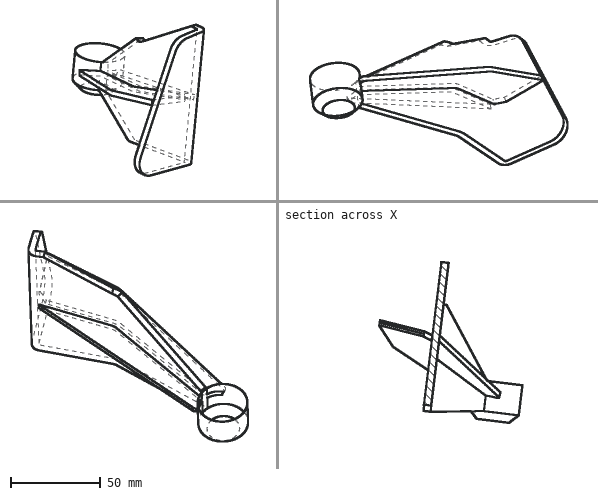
import cadquery as cq
import math

tilt = 7.0

cup_radius = 28.0 / 2
cup_wall = 0.1
cup_wall_height = 17.0
cup_height = 21.9
cup_mouth_radius = 9.2

sheet = 4.0
arm_angle = 28.0
arm_offset = -1.0
sheet_front = -39.3
flange_outer_x = 130.9 - cup_radius
flange_inner_x = flange_outer_x - sheet
arm_bend_radius = 5.0
flange_bend_radius = 1.0

arm_bottom_z = -cup_wall_height
bend_bottom_z = -21.1
flange_bottom_z = -17.7
arm_top_z = 0.1
arm_foot = 14.7
arm_crest = 73.5
bend_top_z = 39.4
bend_top_end_x = 68.9
wing_top_start_x = 107.3
level_top_height = 67.3

flange_top_corner_y = -57.5
flange_tip_y = -83.1
flange_corner_radius = 10.0

rib_slope = 15.0
rib_base_z = -8.9
rib_thickness = 3.0
rib_relief = 4.7
rib_knee_radius = 10.0
rib_nose_radius = 2.0

sin_arm = math.sin(math.radians(arm_angle))
cos_arm = math.cos(math.radians(arm_angle))
cos_slope = math.cos(math.radians(rib_slope))
tan_tilt = math.tan(math.radians(tilt))
cos_tilt = math.cos(math.radians(tilt))


def level_top_z(y):
    """Height, before tilting, of the edge that becomes level after tilting."""
    return level_top_height / cos_tilt + y * tan_tilt


def make_cup():
    section = [
        (cup_radius, 0),
        (cup_radius, -cup_wall_height),
        (cup_mouth_radius, -cup_height),
        (cup_mouth_radius - cup_wall, -cup_height),
        (cup_radius - cup_wall, -cup_wall_height),
        (cup_radius - cup_wall, 0),
    ]
    return cq.Workplane("XZ").polyline(section).close().revolve(360, (0, 0), (0, 1))


def make_sheet():
    sheet_back = sheet_front + sheet
    back = arm_offset + sheet / 2
    front = arm_offset - sheet / 2

    def arm_x(y, offset):
        """X where a face of the arm wing, offset from the cup axis, reaches the given Y."""
        return (offset - y * cos_arm) / sin_arm

    plan = [
        (back * sin_arm, back * cos_arm),
        (arm_x(sheet_back, back), sheet_back),
        (flange_outer_x, sheet_back),
        (flange_outer_x, flange_tip_y),
        (flange_inner_x, flange_tip_y),
        (flange_inner_x, sheet_front),
        (arm_x(sheet_front, front), sheet_front),
        (front * sin_arm, front * cos_arm),
    ]
    knee_back, flange_back, flange_front, knee_front = plan[1], plan[2], plan[5], plan[6]
    base_z = bend_bottom_z
    flange_bend_y = sheet_front - flange_bend_radius
    top_z = level_top_z(flange_bend_y)
    body = cq.Workplane("XY").workplane(offset=base_z).polyline(plan).close().extrude(top_z - base_z)

    def round_bend(solid, corner, radius):
        x, y = corner
        edge = cq.selectors.BoxSelector((x - 0.1, y - 0.1, base_z - 1.3), (x + 0.1, y + 0.1, top_z + 1.3))
        return solid.edges("|Z").edges(edge).fillet(radius)

    body = round_bend(body, knee_back, arm_bend_radius)
    body = round_bend(body, knee_front, arm_bend_radius + sheet)
    body = round_bend(body, flange_front, flange_bend_radius)
    body = round_bend(body, flange_back, flange_bend_radius + sheet)

    side = [
        (0, arm_bottom_z),
        (arm_foot * cos_arm, arm_bottom_z),
        (knee_front[0], bend_bottom_z),
        (flange_inner_x, flange_bottom_z),
        (flange_outer_x, flange_bottom_z),
        (flange_outer_x, top_z),
        (wing_top_start_x, top_z),
        (bend_top_end_x, bend_top_z),
        (0, bend_top_z),
    ]
    side_block = cq.Workplane("XZ").polyline(side).close().extrude(-2 * flange_tip_y, both=True)

    waste = [
        (0, arm_top_z),
        (arm_foot, arm_top_z),
        (arm_crest, bend_top_z),
        (0, bend_top_z),
    ]
    arm_side = cq.Plane(origin=(0, 0, 0), xDir=(cos_arm, -sin_arm, 0), normal=(-sin_arm, -cos_arm, 0))
    arm_waste = cq.Workplane(arm_side).polyline(waste).close().extrude(2 * sheet, both=True)

    arm_end_y = cup_radius
    end = [
        (arm_end_y, bend_bottom_z),
        (sheet_front, bend_bottom_z),
        (sheet_front, flange_bottom_z),
        (flange_tip_y, flange_bottom_z),
        (flange_top_corner_y, level_top_z(flange_top_corner_y)),
        (flange_bend_y, top_z),
        (arm_end_y, top_z),
    ]
    end_block = cq.Workplane("YZ").polyline(end).close().extrude(flange_outer_x)
    for y, z in end[3:5]:
        corner = cq.selectors.BoxSelector((-1.3, y - 0.1, z - 0.1), (flange_outer_x + 1.3, y + 0.1, z + 0.1))
        end_block = end_block.edges("|X").edges(corner).fillet(flange_corner_radius)

    return body.intersect(side_block).intersect(end_block).cut(arm_waste)


def make_rib():
    def on_rib(x, y):
        """Rib plane coordinates (up the slope, across) of the point above plan position x, y."""
        return ((x * cos_arm - y * sin_arm) / cos_slope, x * sin_arm + y * cos_arm)

    nose_front = (8.2, -13.9)
    nose_back = (12.2, 9.2)
    knee = (93.5, -20.0)
    rib_end_x = flange_inner_x - rib_thickness * math.sin(math.radians(rib_slope)) * cos_arm
    flange_front = on_rib(rib_end_x, -69.4)
    flange_relief = on_rib(rib_end_x, sheet_front - rib_relief)
    wing_relief = on_rib(rib_end_x - rib_relief, sheet_front)
    back_end = on_rib(111.1, sheet_front + sheet)
    outline = [nose_front, knee, flange_front, flange_relief, wing_relief, back_end, nose_back]

    slope = math.radians(rib_slope)
    normal = (-math.sin(slope) * cos_arm, math.sin(slope) * sin_arm, math.cos(slope))
    climb = (math.cos(slope) * cos_arm, -math.cos(slope) * sin_arm, math.sin(slope))
    top_face = cq.Plane(origin=(0, 0, rib_base_z), xDir=climb, normal=normal)
    rib = cq.Workplane(top_face).polyline(outline).close().extrude(-rib_thickness)

    def round_corner(solid, corner, radius):
        middle = top_face.toWorldCoords((*corner, -rib_thickness / 2))
        return solid.edges(cq.selectors.NearestToPointSelector(middle.toTuple())).fillet(radius)

    rib = round_corner(rib, knee, rib_knee_radius)
    for corner in (nose_front, nose_back):
        rib = round_corner(rib, corner, rib_nose_radius)
    return rib


def make_bracket():
    cup_space = cq.Workplane("XY").circle(cup_radius).extrude(flange_outer_x, both=True)
    return make_sheet().union(make_rib()).cut(cup_space)


def tilted(body):
    return body.rotate((0, 0, 0), (1, 0, 0), -tilt)


cup = tilted(make_cup())
bracket = tilted(make_bracket())

result = cq.Compound.makeCompound([cup.val(), *bracket.vals()])